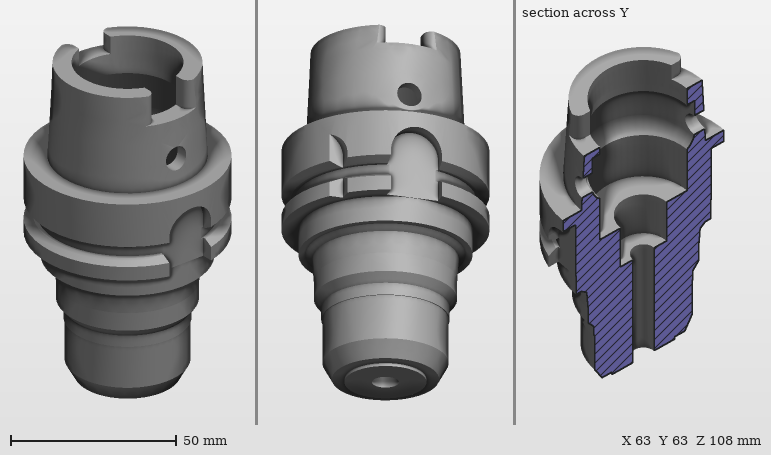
import cadquery as cq
import math

total_height = 108.0
flange_bottom = 49.9
flange_top = 76.0

shank_base_radius = 24.3
shank_taper_per_side = 1 / 20
shank_top_radius = shank_base_radius - shank_taper_per_side * (total_height - flange_top)

flange_diameter = 63.0
flange_radius = flange_diameter / 2
groove_radius = 27.5
groove_wall_radius = 28.7
groove_middle = 58.0
groove_floor_width = 3.7
groove_mouth_width = 6.9

collar_radius = 26.4
collar_bottom = 41.9
neck_cone_radius = 24.2
neck_top_radius = 22.2
neck_top = 40.3
neck_radius = 21.7
neck_taper_end = 33.4
neck_bottom = 27.3
step_radius = 19.4
step_top = 24.4
step_bottom = 20.5
sleeve_radius = 19.1
sleeve_bottom = 6.3
nose_radius = 16.2
nose_face = 1.0
nose_ring_radius = 12.4

bore_radius = 17.0
undercut_radius = 19.9
undercut_top = 95.0
undercut_bottom = 82.3
undercut_curve_radius = 7.0
bore_floor = 59.4
thread_bore_radius = 9.0
thread_bore_floor = 43.2
through_hole_radius = 4.1

notch_half_width = 6.0
notch_corner_radius = 2.7
notch_flat_distance = 21.0
near_notch_floor = 102.1
far_notch_floor = 98.1

cross_hole_radius = 3.9
cross_hole_height = 85.0

keyway_radius = 8.1
keyway_top = 71.2
keyway_floor_distance = 26.6
side_keyway_centre = 28.1
side_keyway_floor_distance = 20.1

cutter_reach = flange_diameter


def turned_body():
    outline = [
        (0, 0),
        (nose_ring_radius, 0),
        (nose_ring_radius, nose_face),
        (nose_radius, nose_face),
        (sleeve_radius, sleeve_bottom),
        (sleeve_radius, step_bottom),
        (step_radius, step_bottom),
        (step_radius, step_top),
        (neck_radius, neck_bottom),
        (neck_radius, neck_taper_end),
        (neck_top_radius, neck_top),
        (neck_cone_radius, collar_bottom),
        (collar_radius, collar_bottom),
        (collar_radius, flange_bottom),
        (flange_radius, flange_bottom),
        (flange_radius, groove_middle - groove_mouth_width / 2),
        (groove_wall_radius, groove_middle - groove_floor_width / 2),
        (groove_radius, groove_middle - groove_floor_width / 2),
        (groove_radius, groove_middle + groove_floor_width / 2),
        (groove_wall_radius, groove_middle + groove_floor_width / 2),
        (flange_radius, groove_middle + groove_mouth_width / 2),
        (flange_radius, flange_top),
        (shank_base_radius, flange_top),
        (shank_top_radius, total_height),
        (0, total_height),
    ]
    return cq.Workplane("XZ").polyline(outline).close().revolve(360, (0, 0, 0), (0, 1, 0))


def stepped_bore():
    sweep = math.acos(1 - (undercut_radius - bore_radius) / undercut_curve_radius)
    curve_middle = (
        undercut_radius - undercut_curve_radius * (1 - math.cos(sweep / 2)),
        undercut_bottom - undercut_curve_radius * math.sin(sweep / 2),
    )
    curve_end = (bore_radius, undercut_bottom - undercut_curve_radius * math.sin(sweep))
    return (
        cq.Workplane("XZ")
        .polyline([
            (bore_radius, undercut_top),
            (bore_radius, total_height),
            (0, total_height),
            (0, 0),
            (through_hole_radius, 0),
            (through_hole_radius, thread_bore_floor),
            (thread_bore_radius, thread_bore_floor),
            (thread_bore_radius, bore_floor),
            (bore_radius, bore_floor),
            curve_end,
        ])
        .threePointArc(curve_middle, (undercut_radius, undercut_bottom))
        .lineTo(undercut_radius, undercut_top)
        .close()
        .revolve(360, (0, 0, 0), (0, 1, 0))
    )


def drive_notch(side, floor_height):
    """Rim notch on the +X (side = 1) or -X (side = -1) wall, with rounded outer corners."""
    flat_x = side * notch_flat_distance
    arc_start_x = side * (notch_flat_distance - notch_corner_radius)
    arc_middle_x = side * (notch_flat_distance - notch_corner_radius * (1 - math.sqrt(0.5)))
    arc_middle_y = notch_half_width + notch_corner_radius * (1 - math.sqrt(0.5))
    arc_end_y = notch_half_width + notch_corner_radius
    outer_x = side * shank_base_radius
    outer_y = notch_half_width + 2 * notch_corner_radius
    return (
        cq.Workplane("XY", origin=(0, 0, floor_height))
        .moveTo(0, -notch_half_width)
        .lineTo(arc_start_x, -notch_half_width)
        .threePointArc((arc_middle_x, -arc_middle_y), (flat_x, -arc_end_y))
        .lineTo(flat_x, -outer_y)
        .lineTo(outer_x, -outer_y)
        .lineTo(outer_x, outer_y)
        .lineTo(flat_x, outer_y)
        .lineTo(flat_x, arc_end_y)
        .threePointArc((arc_middle_x, arc_middle_y), (arc_start_x, notch_half_width))
        .lineTo(0, notch_half_width)
        .close()
        .extrude(total_height - floor_height)
    )


def cross_hole():
    return (
        cq.Workplane("YZ", origin=(-cutter_reach / 2, 0, cross_hole_height))
        .circle(cross_hole_radius)
        .extrude(cutter_reach)
    )


def keyway(side, centre_y, floor_distance):
    """Round-topped slot, open at the flange underside, milled along X to a flat floor."""
    arc_centre_height = keyway_top - keyway_radius
    return (
        cq.Workplane("YZ", origin=(side * floor_distance, 0, 0))
        .moveTo(centre_y - keyway_radius, flange_bottom)
        .lineTo(centre_y - keyway_radius, arc_centre_height)
        .threePointArc((centre_y, keyway_top), (centre_y + keyway_radius, arc_centre_height))
        .lineTo(centre_y + keyway_radius, flange_bottom)
        .close()
        .extrude(side * cutter_reach)
    )


result = turned_body().cut(stepped_bore()).cut(cross_hole())
result = result.cut(drive_notch(-1, near_notch_floor)).cut(drive_notch(1, far_notch_floor))

for side in (-1, 1):
    result = result.cut(keyway(side, 0, keyway_floor_distance))
result = result.cut(keyway(-1, side_keyway_centre, side_keyway_floor_distance))